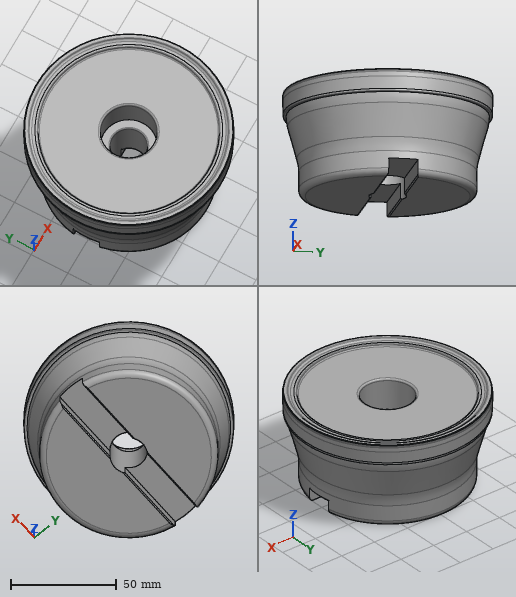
import cadquery as cq
import math

RIM_RADIUS = 50.0
TOTAL_HEIGHT = 50.0
SEAM_RADIUS = 44.6
SEAM_HEIGHT = 40.2
GROOVE_FLOOR_HEIGHT = 49.1

FOOT_RADIUS = 42.4
FOOT_FILLET = 3.2
FOOT_TOP_HEIGHT = 11.6
CONE_ANGLE = 15.5
CONE_BOTTOM_HEIGHT = 18.3
CONE_TOP_HEIGHT = 34.0
FLANGE_RADIUS = 49.8
FLANGE_BOTTOM_HEIGHT = 39.0
FLANGE_FILLET = 0.3

RECESS_RADIUS = 43.1
RECESS_FLOOR_HEIGHT = 48.0
RECESS_LIP_FILLET = 0.4
RECESS_FLOOR_FILLET = 0.6

BORE_RADIUS = 13.5
BORE_FLOOR_HEIGHT = 31.0
BORE_FILLET = 1.0
HOLE_RADIUS = 8.9
HOLE_FILLET = 0.6

SLOT_WIDTH = 14.2
SLOT_HEIGHT = 7.9
SLOT_CHAMFER = 0.6

RING_DRAFT_ANGLE = 1.0
PARTING_HEIGHT = 46.3
RIM_ROUND_WIDTH = 0.5
RIM_ROUND_HEIGHT = 1.4
RIM_ROUND_BANDS = 4
RIM_INNER_RADIUS = 47.8
GROOVE_STEP_RADIUS = 47.4
GROOVE_STEP_HEIGHT = 49.8
GROOVE_FLOOR_RADIUS = 46.2


def side_run(height, angle):
    """Sideways run of a wall that rises by height at an angle from vertical."""
    return height * math.tan(math.radians(angle))


def revolve_profile(profile):
    """Close a radius-height profile and turn it about the Z axis."""
    return profile.close().revolve(360, (0, 0, 0), (0, 1, 0))


def disc(radius, bottom, top):
    return cq.Workplane("XY", origin=(0, 0, bottom)).circle(radius).extrude(top - bottom)


def edges_within(radius, height):
    """Selector for the edges at one height that lie inside or on the given radius."""
    margin = 0.1
    reach = radius + margin
    return cq.selectors.BoxSelector(
        (-reach, -reach, height - margin), (reach, reach, height + margin), boundingbox=True
    )


def make_cup_blank():
    half_angle = CONE_ANGLE / 2
    cone_bottom_radius = FOOT_RADIUS + side_run(CONE_BOTTOM_HEIGHT - FOOT_TOP_HEIGHT, half_angle)
    cone_top_radius = cone_bottom_radius + side_run(CONE_TOP_HEIGHT - CONE_BOTTOM_HEIGHT, CONE_ANGLE)
    neck_radius = cone_top_radius + side_run(FLANGE_BOTTOM_HEIGHT - CONE_TOP_HEIGHT, half_angle)
    blank = revolve_profile(
        cq.Workplane("XZ")
        .lineTo(FOOT_RADIUS, 0)
        .lineTo(FOOT_RADIUS, FOOT_TOP_HEIGHT)
        .tangentArcPoint((cone_bottom_radius, CONE_BOTTOM_HEIGHT), relative=False)
        .lineTo(cone_top_radius, CONE_TOP_HEIGHT)
        .tangentArcPoint((neck_radius, FLANGE_BOTTOM_HEIGHT), relative=False)
        .lineTo(FLANGE_RADIUS - FLANGE_FILLET, FLANGE_BOTTOM_HEIGHT)
        .tangentArcPoint((FLANGE_RADIUS, FLANGE_BOTTOM_HEIGHT + FLANGE_FILLET), relative=False)
        .lineTo(FLANGE_RADIUS, SEAM_HEIGHT)
        .lineTo(SEAM_RADIUS, SEAM_HEIGHT)
        .lineTo(SEAM_RADIUS, GROOVE_FLOOR_HEIGHT)
        .lineTo(0, GROOVE_FLOOR_HEIGHT)
    )
    return blank.faces("<Z").edges().fillet(FOOT_FILLET)


def cut_recess(body):
    recess = disc(RECESS_RADIUS, RECESS_FLOOR_HEIGHT, GROOVE_FLOOR_HEIGHT)
    recess = recess.faces("<Z").edges().fillet(RECESS_FLOOR_FILLET)
    body = body.cut(recess)
    return body.edges(edges_within(RECESS_RADIUS, GROOVE_FLOOR_HEIGHT)).fillet(RECESS_LIP_FILLET)


def cut_centre_hole(body):
    body = body.cut(disc(HOLE_RADIUS, 0, BORE_FLOOR_HEIGHT))
    body = body.cut(disc(BORE_RADIUS, BORE_FLOOR_HEIGHT, RECESS_FLOOR_HEIGHT))
    body = body.edges(edges_within(BORE_RADIUS, RECESS_FLOOR_HEIGHT)).fillet(BORE_FILLET)
    return body.edges(edges_within(HOLE_RADIUS, BORE_FLOOR_HEIGHT)).fillet(HOLE_FILLET)


def cut_slot(body):
    half_width = SLOT_WIDTH / 2
    slot = (
        cq.Workplane("YZ")
        .moveTo(half_width + SLOT_CHAMFER, 0)
        .lineTo(half_width, SLOT_CHAMFER)
        .lineTo(half_width, SLOT_HEIGHT)
        .lineTo(-half_width, SLOT_HEIGHT)
        .lineTo(-half_width, SLOT_CHAMFER)
        .lineTo(-half_width - SLOT_CHAMFER, 0)
        .close()
        .extrude(RIM_RADIUS, both=True)
    )
    return body.cut(slot)


def make_cup():
    return cut_slot(cut_centre_hole(cut_recess(make_cup_blank())))


def rim_round_points(base_radius, base_height):
    """Quarter ellipse, stepped into conical bands of equal height."""
    points = []
    for band in range(1, RIM_ROUND_BANDS + 1):
        rise = band / RIM_ROUND_BANDS
        inset = RIM_ROUND_WIDTH * (1 - math.sqrt(1 - rise**2))
        points.append((base_radius - inset, base_height + rise * RIM_ROUND_HEIGHT))
    return points


def make_ring():
    round_base_height = TOTAL_HEIGHT - RIM_ROUND_HEIGHT
    round_base_radius = RIM_RADIUS - side_run(round_base_height - PARTING_HEIGHT, RING_DRAFT_ANGLE)
    profile = (
        cq.Workplane("XZ")
        .moveTo(SEAM_RADIUS, SEAM_HEIGHT)
        .lineTo(FLANGE_RADIUS, SEAM_HEIGHT)
        .lineTo(RIM_RADIUS, PARTING_HEIGHT)
        .lineTo(round_base_radius, round_base_height)
    )
    for radius, height in rim_round_points(round_base_radius, round_base_height):
        profile = profile.lineTo(radius, height)
    return revolve_profile(
        profile.lineTo(RIM_INNER_RADIUS, TOTAL_HEIGHT)
        .tangentArcPoint((GROOVE_STEP_RADIUS, GROOVE_STEP_HEIGHT), relative=False)
        .tangentArcPoint((GROOVE_FLOOR_RADIUS, GROOVE_FLOOR_HEIGHT), relative=False)
        .lineTo(SEAM_RADIUS, GROOVE_FLOOR_HEIGHT)
    )


cup = make_cup()
ring = make_ring()
result = cq.Compound.makeCompound([cup.val(), ring.val()])